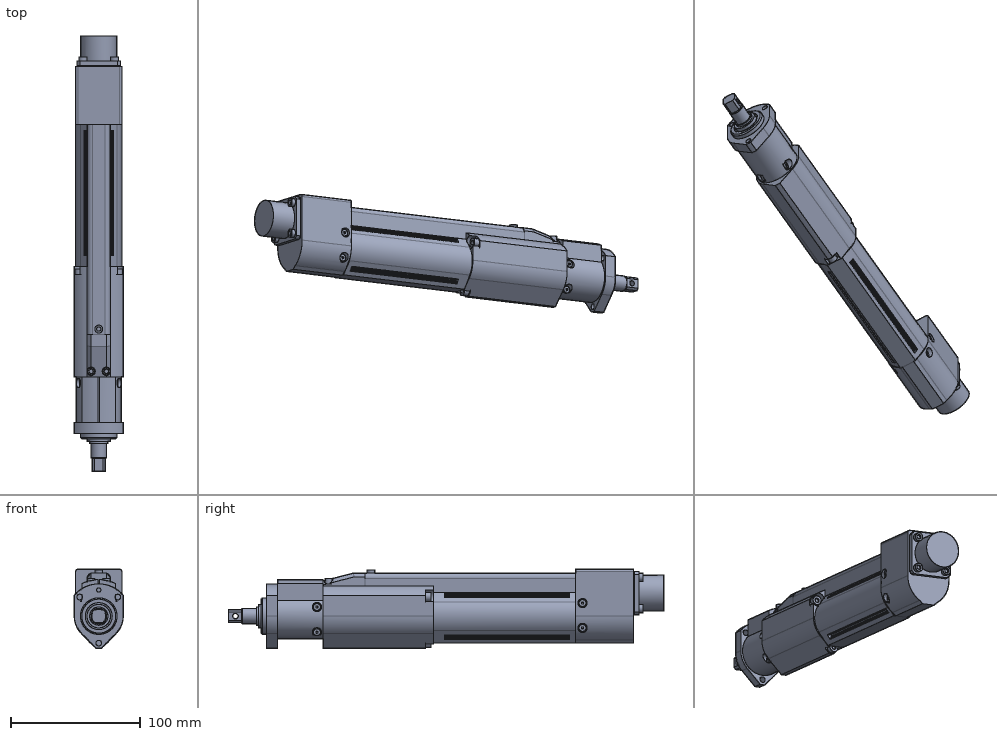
import cadquery as cq
import math


SQUARE_END = 10.0
SEAL_FRONT = 21.5
GLAND_FRONT = 23.0
PILOT_FRONT = 25.0
FLANGE_FRONT = 29.2
FLANGE_BACK = 38.0
HOUSING_FRONT = 72.8
HOUSING_BACK = 158.0
SLOT_FRONT = 166.5
SLOT_BACK = 262.5
HEAD_FRONT = 267.3
HEAD_BACK = 312.0
PLATE_FRONT = 312.5
PLATE_BACK = 316.3
CONNECTOR_BACK = 335.5

SHAFT_D = 12.0
SHAFT_FLATS = 10.0
SHAFT_CHAMFER = 0.7
PIN_HOLE_D = 4.0
PIN_HOLE_Y = 5.5
SEAL_D = 14.0
GLAND_D = 18.0
PILOT_D = 28.2
PILOT_CHAMFER = 1.0
PILOT_RECESS_D = 20.8
PILOT_RECESS_DEPTH = 1.0

BODY_WIDTH = 38.0
BODY_R = 24.8
BODY_TANGENT_ANGLE = 45
BOLT_CIRCLE_R = 20.8
BOLT_ANGLES = (45, 135, 270)
FLANGE_HOLE_D = 4.5
DOWEL_HOLE_D = 3.25
DOWEL_HOLE_Z = 20.0
DOWEL_HOLE_DEPTH = 3.5

SCREW_RECESS_D = 10.7
SCREW_RECESS_FRONT = 151.5
SCREW_HEAD_D = 7.0
SCREW_HEAD_LENGTH = 4.5
SOCKET_D = 3.5
SOCKET_DEPTH = 1.7

NOSE_R = 17.5
NOSE_TOP_R = 28.2
NOSE_TOP_HALF_WIDTH = 12.7
NOSE_GROOVE_WIDTH = 1.0
NOSE_GROOVE_BOTTOM = 25.5

TUBE_WIDTH = 36.0
TUBE_R = TUBE_WIDTH / 2
TUBE_BOTTOM = -20.8
TUBE_TANGENT_ANGLE = 37.5
SLOT_STEPS = ((4.0, 1.0), (2.7, 2.0), (1.5, 3.0))
SLOT_OFFSET = 6.7

HEAD_TOP = 36.2
HEAD_FILLET = 2.0
HEAD_KEEL_X = 7.7
HEAD_KEEL_Z = -18.5
HEAD_BOTTOM_X = 5.0
PLATE_WIDTH = 33.5
PLATE_CHAMFER = 2.5
GASKET_WIDTH = 31.5
CONNECTOR_D = 28.0
CONNECTOR_Z = 17.8
PLATE_SCREW_OFFSET = 12.0
PLATE_SCREW_D = 6.5
PLATE_SCREW_LENGTH = 3.0

COVER_WIDTH = 17.8
COVER_TOP = 33.2
COVER_BOTTOM = 18.0
COVER_FILLET = 4.0
CAP_BACK = 105.3
CAP_SLOPE_START = 96.3
CAP_SLOPE_END_Z = 27.0
CAP_CHAMFER = 3.0
CAP_SCREW_SPACING = 11.7
CAP_SCREW_Y = 77.0
CAP_SCREW_D = 5.5
CAP_RECESS_D = 6.5
CAP_RECESS_FLOOR = 24.8
CAP_SCREW_TOP = 29.2
COVER_SCREW_Y = 109.7
COVER_SCREW_D = 6.0
COVER_SCREW_HEIGHT = 2.5

SIDE_RECESS_D = 7.0
SIDE_SCREW_D = 5.5
SIDE_SOCKET_D = 1.6
HEAD_SIDE_Y = 272.7
HEAD_SIDE_SCREWS = ((16.8, 10.0), (14.0, -9.0))
NOSE_SIDE_Y = 68.0
NOSE_SIDE_SCREWS = ((14.8, 7.0), (11.0, -12.5))


def section(front):
    """Workplane across the shaft axis at the given station."""
    return cq.Workplane("XZ", origin=(0, front, 0))


def cylinder(diameter, front, back, x=0, z=0):
    return section(front).center(x, z).circle(diameter / 2).extrude(front - back)


def box(x_size, front, back, bottom, top):
    block = cq.Workplane("XY", origin=(0, (front + back) / 2, bottom))
    return block.rect(x_size, back - front).extrude(top - bottom)


def on_bolt_circle(angle):
    angle = math.radians(angle)
    return BOLT_CIRCLE_R * math.cos(angle), BOLT_CIRCLE_R * math.sin(angle)


def keel(side_r, tangent_angle, top, bottom, front, back):
    """Straight sides on a round underside that runs into tangent flats and a flat bottom."""
    angle = math.radians(tangent_angle)
    flat_x = side_r * math.cos(angle)
    flat_z = -side_r * math.sin(angle)
    middle_x = side_r * math.cos(angle / 2)
    middle_z = -side_r * math.sin(angle / 2)
    bottom_x = (side_r + bottom * math.sin(angle)) / math.cos(angle)
    return (
        section(front)
        .moveTo(-side_r, top)
        .lineTo(side_r, top)
        .lineTo(side_r, 0)
        .threePointArc((middle_x, middle_z), (flat_x, flat_z))
        .lineTo(bottom_x, bottom)
        .lineTo(-bottom_x, bottom)
        .lineTo(-flat_x, flat_z)
        .threePointArc((-middle_x, middle_z), (-side_r, 0))
        .close()
        .extrude(front - back)
    )


def body_block(front, back):
    """Length of the flange and housing outline: a keel trimmed by the outer circle."""
    outline = keel(BODY_WIDTH / 2, BODY_TANGENT_ANGLE, BODY_R, -BODY_R, front, back)
    return outline.intersect(cylinder(2 * BODY_R, front, back))


def output_shaft():
    shaft = cylinder(SHAFT_D, SQUARE_END, FLANGE_FRONT).faces("<Y").chamfer(SHAFT_CHAMFER)
    square = box(SHAFT_FLATS, 0, SQUARE_END, -SHAFT_FLATS / 2, SHAFT_FLATS / 2)
    square = square.intersect(cylinder(SHAFT_D, 0, SQUARE_END))
    pin_hole = cq.Workplane("YZ").center(PIN_HOLE_Y, 0).circle(PIN_HOLE_D / 2).extrude(SHAFT_D, both=True)
    return shaft.union(square).cut(pin_hole)


def front_flange():
    flange = body_block(FLANGE_FRONT, FLANGE_BACK)
    for angle in BOLT_ANGLES:
        x, z = on_bolt_circle(angle)
        flange = flange.cut(cylinder(FLANGE_HOLE_D, FLANGE_FRONT, FLANGE_BACK, x, z))
    dowel_back = FLANGE_FRONT + DOWEL_HOLE_DEPTH
    flange = flange.cut(cylinder(DOWEL_HOLE_D, FLANGE_FRONT, dowel_back, 0, DOWEL_HOLE_Z))
    pilot = cylinder(PILOT_D, PILOT_FRONT, FLANGE_FRONT).faces("<Y").chamfer(PILOT_CHAMFER)
    recess_back = PILOT_FRONT + PILOT_RECESS_DEPTH
    pilot = pilot.cut(cylinder(PILOT_RECESS_D, PILOT_FRONT, recess_back))
    gland = cylinder(GLAND_D, GLAND_FRONT, recess_back)
    seal = cylinder(SEAL_D, SEAL_FRONT, GLAND_FRONT)
    return flange.union(pilot).union(gland).union(seal)


def side_bore(diameter, start, end, y, z, side):
    """Cylinder along X on one side of the axis; start and end are distances from X = 0."""
    plane = cq.Workplane("YZ", origin=(side * start, y, z))
    return plane.circle(diameter / 2).extrude(side * (end - start))


def sink_side_screws(part, y, screws):
    """Socket screws along X, sunk in both sides; each is given by its head face X and its Z."""
    for head_x, z in screws:
        recess_floor = head_x - SOCKET_DEPTH
        for side in (-1, 1):
            part = part.cut(side_bore(SIDE_RECESS_D, recess_floor, BODY_WIDTH / 2, y, z, side))
            part = part.union(side_bore(SIDE_SCREW_D, recess_floor, head_x, y, z, side))
            part = part.cut(side_bore(SIDE_SOCKET_D, recess_floor, head_x, y, z, side))
    return part


def nose():
    top = box(2 * NOSE_TOP_HALF_WIDTH, FLANGE_BACK, HOUSING_FRONT, 0, NOSE_TOP_R)
    top = top.intersect(cylinder(2 * NOSE_TOP_R, FLANGE_BACK, HOUSING_FRONT))
    groove = box(NOSE_GROOVE_WIDTH, FLANGE_BACK, HOUSING_FRONT, NOSE_GROOVE_BOTTOM, NOSE_TOP_R)
    solid = cylinder(2 * NOSE_R, FLANGE_BACK, HOUSING_FRONT).union(top).cut(groove)
    return sink_side_screws(solid, NOSE_SIDE_Y, NOSE_SIDE_SCREWS)


def housing():
    solid = body_block(HOUSING_FRONT, HOUSING_BACK)
    head_back = SCREW_RECESS_FRONT + SCREW_HEAD_LENGTH
    for angle in BOLT_ANGLES:
        x, z = on_bolt_circle(angle)
        solid = solid.cut(cylinder(SCREW_RECESS_D, SCREW_RECESS_FRONT, HOUSING_BACK, x, z))
        solid = solid.union(cylinder(SCREW_HEAD_D, SCREW_RECESS_FRONT, head_back, x, z))
        solid = solid.cut(cylinder(SOCKET_D, head_back - SOCKET_DEPTH, head_back, x, z))
    return solid


def slotted_tube():
    lower = keel(TUBE_R, TUBE_TANGENT_ANGLE, -TUBE_BOTTOM, TUBE_BOTTOM, HOUSING_BACK, HEAD_FRONT)
    tube = lower.intersect(lower.mirror("XY"))
    for width, depth in SLOT_STEPS:
        step = cq.Workplane("XY").box(2 * depth, SLOT_BACK - SLOT_FRONT, width)
        step = step.translate((TUBE_R, (SLOT_FRONT + SLOT_BACK) / 2, SLOT_OFFSET))
        upper = step.rotate((0, 0, 0), (0, 1, 0), -TUBE_TANGENT_ANGLE)
        for slot in (upper, upper.mirror("XY")):
            tube = tube.cut(slot).cut(slot.mirror("YZ"))
    return tube


def rear_head():
    head = (
        section(HEAD_FRONT)
        .moveTo(0, HEAD_TOP)
        .lineTo(TUBE_R, HEAD_TOP)
        .lineTo(TUBE_R, 0)
        .tangentArcPoint((HEAD_KEEL_X, HEAD_KEEL_Z), relative=False)
        .lineTo(HEAD_BOTTOM_X, TUBE_BOTTOM)
        .lineTo(0, TUBE_BOTTOM)
        .close()
        .extrude(HEAD_FRONT - HEAD_BACK)
    )
    head = head.union(head.mirror("YZ")).edges("|Y and >Z").fillet(HEAD_FILLET)
    return sink_side_screws(head, HEAD_SIDE_Y, HEAD_SIDE_SCREWS)


def connector():
    half_plate = PLATE_WIDTH / 2
    half_gasket = GASKET_WIDTH / 2
    gasket = box(GASKET_WIDTH, HEAD_BACK, PLATE_FRONT, CONNECTOR_Z - half_gasket, CONNECTOR_Z + half_gasket)
    plate = box(PLATE_WIDTH, PLATE_FRONT, PLATE_BACK, CONNECTOR_Z - half_plate, CONNECTOR_Z + half_plate)
    solid = plate.edges("|Y").chamfer(PLATE_CHAMFER).union(gasket)
    screw_back = PLATE_BACK + PLATE_SCREW_LENGTH
    for x in (-PLATE_SCREW_OFFSET, PLATE_SCREW_OFFSET):
        for z in (CONNECTOR_Z - PLATE_SCREW_OFFSET, CONNECTOR_Z + PLATE_SCREW_OFFSET):
            solid = solid.union(cylinder(PLATE_SCREW_D, PLATE_BACK, screw_back, x, z))
            solid = solid.cut(cylinder(SOCKET_D, screw_back - SOCKET_DEPTH, screw_back, x, z))
    return solid.union(cylinder(CONNECTOR_D, PLATE_BACK, CONNECTOR_BACK, 0, CONNECTOR_Z))


def vertical_pin(diameter, x, y, bottom, top):
    return cq.Workplane("XY", origin=(x, y, bottom)).circle(diameter / 2).extrude(top - bottom)


def cable_cover():
    cover = box(COVER_WIDTH, CAP_BACK, HEAD_FRONT, COVER_BOTTOM, COVER_TOP)
    cover = cover.edges("|Y and >Z").fillet(COVER_FILLET)
    screw_top = COVER_TOP + COVER_SCREW_HEIGHT
    cover = cover.union(vertical_pin(COVER_SCREW_D, 0, COVER_SCREW_Y, COVER_TOP, screw_top))
    return cover.cut(vertical_pin(SOCKET_D, 0, COVER_SCREW_Y, screw_top - SOCKET_DEPTH, screw_top))


def cover_cap():
    """Front end of the cable cover, sloping down to the nose and held by two screws."""
    cap = (
        cq.Workplane("YZ")
        .moveTo(CAP_BACK, COVER_BOTTOM)
        .lineTo(CAP_BACK, COVER_TOP)
        .lineTo(CAP_SLOPE_START, COVER_TOP)
        .lineTo(HOUSING_FRONT, CAP_SLOPE_END_Z)
        .lineTo(HOUSING_FRONT, COVER_BOTTOM)
        .close()
        .extrude(COVER_WIDTH / 2, both=True)
    )
    cap = cap.edges("(<X or >X) and (not |Z) and (not <Z)").chamfer(CAP_CHAMFER)
    for side in (-1, 1):
        x = side * CAP_SCREW_SPACING / 2
        cap = cap.cut(vertical_pin(CAP_RECESS_D, x, CAP_SCREW_Y, CAP_RECESS_FLOOR, COVER_TOP))
        cap = cap.union(vertical_pin(CAP_SCREW_D, x, CAP_SCREW_Y, CAP_RECESS_FLOOR, CAP_SCREW_TOP))
        cap = cap.cut(vertical_pin(SOCKET_D, x, CAP_SCREW_Y, CAP_SCREW_TOP - SOCKET_DEPTH, CAP_SCREW_TOP))
    return cap


result = (
    output_shaft()
    .union(front_flange())
    .union(nose())
    .union(housing())
    .union(slotted_tube())
    .union(rear_head())
    .union(connector())
    .union(cable_cover())
    .union(cover_cap())
)